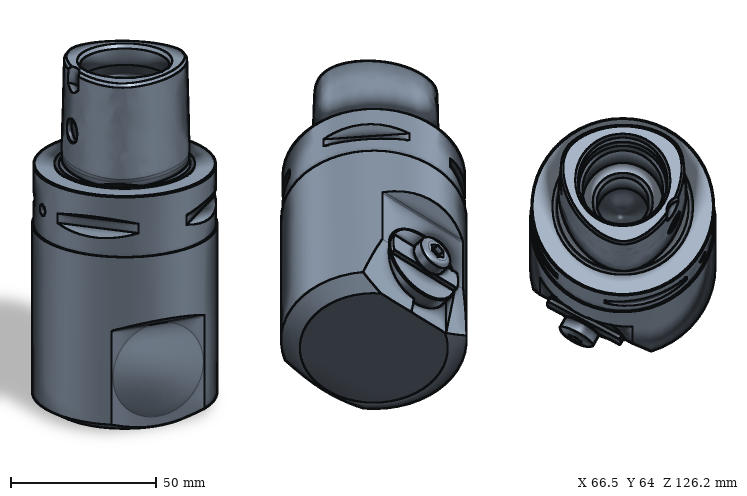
import cadquery as cq
import math


TOTAL_HEIGHT = 126.2
TOTAL_WIDTH = 66.5
FLANGE_TOP = 88.2
FLANGE_BOTTOM = 65.9
FLANGE_DIAMETER = 63.0
FLANGE_RADIUS = FLANGE_DIAMETER / 2
BODY_DIAMETER = 64.0
BODY_RADIUS = BODY_DIAMETER / 2
FLANGE_CHAMFER = 0.4
BOTTOM_RADIUS = 25.5
BOTTOM_CHAMFER_HEIGHT = 3.9

SHANK_MEAN_RADIUS = 22.1
SHANK_ECCENTRICITY = 1.4
SHANK_TAPER = 1 / 40
SHANK_POINTS = 48
TAPER_BOTTOM = 91.4
SHANK_RELIEF = 0.1
NECK_TOP = 90.1
SHANK_EDGE_HEIGHT = 1.3
SHANK_EDGE_WIDTH = 0.9
NECK_RADIUS = 22.2
NECK_FLARE_RADIUS = 23.7

RING_INNER_RADIUS = 22.7
RING_OUTER_RADIUS = 24.2

MOUTH_RADIUS = 16.4
MOUTH_DEPTH = 1.5
BORE_RADIUS = 15.4
CLAMP_GROOVE_RADIUS = 16.4
CLAMP_GROOVE_TOP = 118.6
CLAMP_GROOVE_BOTTOM = 114.0
CLAMP_GROOVE_ROUND = 1.3
INNER_BORE_RADIUS = 13.9
INNER_BORE_TOP = 112.3
INNER_BORE_BOTTOM = 94.6
DRILL_MOUTH_RADIUS = 10.3
DRILL_RADIUS = 9.0
DRILL_BOTTOM = 78.2
DRILL_TIP_SLOPE = math.tan(math.radians(31))

NOTCH_RADIUS = 5.5
NOTCH_FACE_Y = -17.9
NOTCH_BOTTOM = 119.9
DIMPLE_Z = 103.7
DIMPLE_RADIUS = 4.2
DIMPLE_BOTTOM_Y = -18.3
DIMPLE_EDGE_RADIUS = 4.4
MARK_RADIUS = 2.0
MARK_DEPTH = 1.9

SLOT_COUNT = 4
SLOT_Z = 76.2
SLOT_FLOOR_DISTANCE = 27.8
SLOT_FLOOR_HEIGHT = 3.4
SLOT_MOUTH_HEIGHT = 7.7

LEFT_FLAT_DISTANCE = 26.4
LEFT_FLAT_TOP = 44.7
RIGHT_FLAT_DISTANCE = 26.6
RIGHT_FLAT_TOP = 38.6
SHOULDER_ROUND = 0.8
SHOULDER_SLOPE = math.tan(math.radians(31))
SLOPE_TOP = 20.7
SLOPE_BOTTOM_DISTANCE = 21.1

DOME_Z = 21.3
DOME_RADIUS = 17.3
DOME_HEIGHT = 2.0

CARTRIDGE_Z = 20.6
CARTRIDGE_RADIUS = 14.9
CARTRIDGE_SEAT_X = -SLOPE_BOTTOM_DISTANCE
CARTRIDGE_EDGE = 0.4
CLEARANCE_END_Y = 0.6
RAIL_HEIGHT = 7.8
RAIL_THICKNESS = 1.6
RAIL_FACE_X = -LEFT_FLAT_DISTANCE - RAIL_THICKNESS

SCREW_FACE_X = BODY_RADIUS - TOTAL_WIDTH
SCREW_ROUND_DEPTH = 1.1
SCREW_FACE_RADIUS = 4.2
SCREW_EDGE_RADIUS = 3.2
HEAD_RADIUS = 6.5
HEAD_BACK_X = -29.2
HEAD_BACK_CHAMFER = 0.4
STEM_RADIUS = 3.8
HEX_ACROSS_FLATS = 5.0
HEX_DEPTH = 2.5

OVERSIZE = BODY_DIAMETER


def revolve_about_z(points):
    """Solid of revolution about Z from (radius, z) points."""
    return cq.Workplane("XZ").polyline(points).close().revolve(360, (0, 0, 0), (0, 1, 0))


def cylinder_along_x(radius, x_start, x_end, z):
    return cq.Workplane("YZ", origin=(x_start, 0, z)).circle(radius).extrude(x_end - x_start)


def pointed_hole_along_y(radius, y_outside, y_bottom, z):
    """Round cutter entering from -Y, with a drill point beyond y_bottom."""
    tip_y = y_bottom + radius * DRILL_TIP_SLOPE
    outline = [(0, y_outside), (radius, y_outside), (radius, y_bottom), (0, tip_y)]
    cutter = cq.Workplane("XY").polyline(outline).close().revolve(360, (0, 0, 0), (0, 1, 0))
    return cutter.translate((0, 0, z))


def shank_point(mean_radius, angle):
    """Point of the three-lobed outline; one lobe points to +Y."""
    e = SHANK_ECCENTRICITY
    along = mean_radius * math.cos(angle) - 2 * e * math.cos(2 * angle) + e * math.cos(4 * angle)
    across = mean_radius * math.sin(angle) + 2 * e * math.sin(2 * angle) + e * math.sin(4 * angle)
    return across, -along


def shank_section(z_bottom, radius_bottom, z_top, radius_top):
    """Three-lobed solid between two heights, ruled from one mean radius to the other."""
    def outline(mean_radius):
        return [
            shank_point(mean_radius, 2 * math.pi * i / SHANK_POINTS)
            for i in range(SHANK_POINTS)
        ]

    return (
        cq.Workplane("XY", origin=(0, 0, z_bottom))
        .spline(outline(radius_bottom), periodic=True).close()
        .workplane(offset=z_top - z_bottom)
        .spline(outline(radius_top), periodic=True).close()
        .loft(ruled=True)
    )


def make_shank():
    edge_z = TOTAL_HEIGHT - SHANK_EDGE_HEIGHT
    edge_radius = SHANK_MEAN_RADIUS - SHANK_TAPER * (edge_z - TAPER_BOTTOM)
    neck_radius = SHANK_MEAN_RADIUS - SHANK_RELIEF
    neck = shank_section(FLANGE_TOP, neck_radius, NECK_TOP, neck_radius)
    lobe_limit = revolve_about_z([
        (0, FLANGE_TOP),
        (NECK_RADIUS, FLANGE_TOP),
        (NECK_FLARE_RADIUS, NECK_TOP),
        (0, NECK_TOP),
    ])
    relief = shank_section(NECK_TOP, neck_radius, TAPER_BOTTOM, SHANK_MEAN_RADIUS)
    taper = shank_section(TAPER_BOTTOM, SHANK_MEAN_RADIUS, edge_z, edge_radius)
    edge = shank_section(edge_z, edge_radius, TOTAL_HEIGHT, edge_radius - SHANK_EDGE_WIDTH)
    return neck.intersect(lobe_limit).union(relief).union(taper).union(edge)


def make_body():
    return revolve_about_z([
        (0, 0),
        (BOTTOM_RADIUS, 0),
        (BODY_RADIUS, BOTTOM_CHAMFER_HEIGHT),
        (BODY_RADIUS, FLANGE_BOTTOM),
        (FLANGE_RADIUS, FLANGE_BOTTOM),
        (FLANGE_RADIUS, FLANGE_TOP - FLANGE_CHAMFER),
        (FLANGE_RADIUS - FLANGE_CHAMFER, FLANGE_TOP),
        (0, FLANGE_TOP),
    ])


def ring_groove_cutter():
    """Ring of round cross-section, half sunk into the flange face."""
    groove_radius = (RING_OUTER_RADIUS - RING_INNER_RADIUS) / 2
    return cq.Workplane(
        cq.Solid.makeTorus(RING_INNER_RADIUS + groove_radius, groove_radius, cq.Vector(0, 0, FLANGE_TOP))
    )


def bore_cutter():
    """Stepped bore with a clamping groove whose lower corner is round."""
    round_end = CLAMP_GROOVE_RADIUS - CLAMP_GROOVE_ROUND
    return (
        cq.Workplane("XZ")
        .moveTo(0, TOTAL_HEIGHT)
        .lineTo(MOUTH_RADIUS, TOTAL_HEIGHT)
        .lineTo(BORE_RADIUS, TOTAL_HEIGHT - MOUTH_DEPTH)
        .lineTo(BORE_RADIUS, CLAMP_GROOVE_TOP)
        .lineTo(CLAMP_GROOVE_RADIUS, CLAMP_GROOVE_TOP)
        .lineTo(CLAMP_GROOVE_RADIUS, CLAMP_GROOVE_BOTTOM + CLAMP_GROOVE_ROUND)
        .radiusArc((round_end, CLAMP_GROOVE_BOTTOM), CLAMP_GROOVE_ROUND)
        .lineTo(INNER_BORE_RADIUS, INNER_BORE_TOP)
        .lineTo(INNER_BORE_RADIUS, INNER_BORE_BOTTOM)
        .lineTo(DRILL_MOUTH_RADIUS, INNER_BORE_BOTTOM)
        .lineTo(DRILL_RADIUS, INNER_BORE_BOTTOM - (DRILL_MOUTH_RADIUS - DRILL_RADIUS))
        .lineTo(DRILL_RADIUS, DRILL_BOTTOM)
        .lineTo(0, DRILL_BOTTOM - DRILL_RADIUS * DRILL_TIP_SLOPE)
        .close()
        .revolve(360, (0, 0, 0), (0, 1, 0))
    )


def notch_cutter():
    """Upright round cutter with a 45 degree point, sunk into the shank's -Y side."""
    cutter = revolve_about_z([
        (0, TOTAL_HEIGHT),
        (NOTCH_RADIUS, TOTAL_HEIGHT),
        (NOTCH_RADIUS, NOTCH_BOTTOM),
        (0, NOTCH_BOTTOM - NOTCH_RADIUS),
    ])
    return cutter.translate((0, NOTCH_FACE_Y - NOTCH_RADIUS, 0))


def dimple_cutter():
    """Pointed hole in the shank with a narrow 45 degree edge where it meets the -Y wall."""
    wall_radius = SHANK_MEAN_RADIUS - SHANK_TAPER * (DIMPLE_Z - TAPER_BOTTOM)
    wall_y = SHANK_ECCENTRICITY - wall_radius
    edge_tip_y = wall_y + DIMPLE_EDGE_RADIUS
    edge = (
        cq.Workplane("XY")
        .polyline([(0, wall_y), (DIMPLE_EDGE_RADIUS, wall_y), (0, edge_tip_y)]).close()
        .revolve(360, (0, 0, 0), (0, 1, 0))
        .translate((0, 0, DIMPLE_Z))
    )
    hole = pointed_hole_along_y(DIMPLE_RADIUS, -BODY_RADIUS, DIMPLE_BOTTOM_Y, DIMPLE_Z)
    return hole.union(edge)


def gripper_slot_cutter():
    """Straight slot with sloped sides, cut into the flange's +X side."""
    depth = BODY_RADIUS - SLOT_FLOOR_DISTANCE
    side_run = (SLOT_MOUTH_HEIGHT - SLOT_FLOOR_HEIGHT) / 2
    mouth_depth = FLANGE_RADIUS - SLOT_FLOOR_DISTANCE
    outer_half = SLOT_FLOOR_HEIGHT / 2 + side_run * depth / mouth_depth
    return (
        cq.Workplane("XZ")
        .polyline([
            (SLOT_FLOOR_DISTANCE, SLOT_Z - SLOT_FLOOR_HEIGHT / 2),
            (BODY_RADIUS, SLOT_Z - outer_half),
            (BODY_RADIUS, SLOT_Z + outer_half),
            (SLOT_FLOOR_DISTANCE, SLOT_Z + SLOT_FLOOR_HEIGHT / 2),
        ]).close()
        .extrude(OVERSIZE / 2, both=True)
    )


def flat_cutter(distance, top, bottom, bottom_distance):
    """Cutter for a flat facing +X below a sloped shoulder; below the height given by
    bottom the flat leans inward to bottom_distance at the foot of the body."""
    shoulder_rise = (OVERSIZE - distance) * SHOULDER_SLOPE
    outline = [(bottom_distance, 0), (distance, bottom), (distance, top)]
    outline += [(OVERSIZE, top + shoulder_rise), (OVERSIZE, 0)]
    cutter = cq.Workplane("XZ").polyline(outline).close().extrude(OVERSIZE, both=True)
    corner = cq.selectors.NearestToPointSelector((distance, 0, top))
    return cutter.edges("|Y").edges(corner).fillet(SHOULDER_ROUND)


def left_flat_cutter():
    cutter = flat_cutter(LEFT_FLAT_DISTANCE, LEFT_FLAT_TOP, SLOPE_TOP, SLOPE_BOTTOM_DISTANCE)
    return cutter.mirror("YZ")


def right_flat_cutter():
    return flat_cutter(RIGHT_FLAT_DISTANCE, RIGHT_FLAT_TOP, BOTTOM_CHAMFER_HEIGHT, RIGHT_FLAT_DISTANCE)


def cartridge_recess_cutter():
    """Round seat for the cartridge plus the open clearance below one half of it."""
    seat = cylinder_along_x(CARTRIDGE_RADIUS, -OVERSIZE, CARTRIDGE_SEAT_X, CARTRIDGE_Z)
    clearance = cq.Workplane("XY").box(
        OVERSIZE + CARTRIDGE_SEAT_X,
        CLEARANCE_END_Y + CARTRIDGE_RADIUS,
        CARTRIDGE_Z,
        centered=False,
    ).translate((-OVERSIZE, -CARTRIDGE_RADIUS, 0))
    return seat.union(clearance)


def make_dome():
    """Shallow spherical cap standing on the +X flat."""
    return (
        cq.Workplane("XY")
        .moveTo(RIGHT_FLAT_DISTANCE, 0)
        .lineTo(RIGHT_FLAT_DISTANCE, DOME_RADIUS)
        .radiusArc(
            (RIGHT_FLAT_DISTANCE + DOME_HEIGHT, 0),
            (DOME_RADIUS ** 2 + DOME_HEIGHT ** 2) / (2 * DOME_HEIGHT),
        )
        .close()
        .revolve(360, (0, 0, 0), (1, 0, 0))
        .translate((0, 0, DOME_Z))
    )


def make_housing():
    housing = make_body().cut(ring_groove_cutter())
    housing = housing.cut(left_flat_cutter()).cut(right_flat_cutter())
    housing = housing.cut(cartridge_recess_cutter()).union(make_dome())
    housing = housing.union(make_shank()).cut(bore_cutter())
    housing = housing.cut(notch_cutter()).cut(dimple_cutter())
    mark_bottom_y = MARK_DEPTH - FLANGE_RADIUS
    housing = housing.cut(pointed_hole_along_y(MARK_RADIUS, -BODY_RADIUS, mark_bottom_y, SLOT_Z))
    slot = gripper_slot_cutter()
    for i in range(SLOT_COUNT):
        angle = (i + 0.5) * 360 / SLOT_COUNT
        housing = housing.cut(slot.rotate((0, 0, 0), (0, 0, 1), angle))
    return housing


def make_cartridge():
    disc = cylinder_along_x(CARTRIDGE_RADIUS, CARTRIDGE_SEAT_X, -LEFT_FLAT_DISTANCE, CARTRIDGE_Z)
    disc = disc.faces("<X").chamfer(CARTRIDGE_EDGE)
    rail_end_radius = CARTRIDGE_RADIUS - CARTRIDGE_EDGE
    rail_round = cylinder_along_x(rail_end_radius, -LEFT_FLAT_DISTANCE, RAIL_FACE_X, CARTRIDGE_Z)
    rail_band = cq.Workplane("XY").box(OVERSIZE, OVERSIZE, RAIL_HEIGHT).translate((0, 0, CARTRIDGE_Z))
    screw_hole = cylinder_along_x(STEM_RADIUS, CARTRIDGE_SEAT_X, RAIL_FACE_X, CARTRIDGE_Z)
    return disc.union(rail_round.intersect(rail_band)).cut(screw_hole)


def make_screw():
    rounded_x = SCREW_FACE_X + SCREW_ROUND_DEPTH
    screw = (
        cq.Workplane("XY")
        .moveTo(SCREW_FACE_X, 0)
        .lineTo(SCREW_FACE_X, SCREW_FACE_RADIUS)
        .radiusArc((rounded_x, HEAD_RADIUS), SCREW_EDGE_RADIUS)
        .lineTo(HEAD_BACK_X - HEAD_BACK_CHAMFER, HEAD_RADIUS)
        .lineTo(HEAD_BACK_X, HEAD_RADIUS - HEAD_BACK_CHAMFER)
        .lineTo(HEAD_BACK_X, STEM_RADIUS)
        .lineTo(CARTRIDGE_SEAT_X, STEM_RADIUS)
        .lineTo(CARTRIDGE_SEAT_X, 0)
        .close()
        .revolve(360, (0, 0, 0), (1, 0, 0))
    )
    corner_diameter = HEX_ACROSS_FLATS / math.cos(math.pi / 6)
    socket = (
        cq.Workplane("YZ", origin=(SCREW_FACE_X, 0, 0))
        .transformed(rotate=(0, 0, 90))
        .polygon(6, corner_diameter)
        .extrude(HEX_DEPTH)
    )
    socket_x = SCREW_FACE_X + HEX_DEPTH
    half_flats = HEX_ACROSS_FLATS / 2
    socket_point = (
        cq.Workplane("XY")
        .polyline([
            (socket_x, 0),
            (socket_x, half_flats),
            (socket_x + half_flats * DRILL_TIP_SLOPE, 0),
        ]).close()
        .revolve(360, (0, 0, 0), (1, 0, 0))
    )
    return screw.cut(socket).cut(socket_point).translate((0, 0, CARTRIDGE_Z))


housing = make_housing()
cartridge = make_cartridge()
screw = make_screw()

result = cq.Compound.makeCompound([
    housing.solids().val(),
    cartridge.solids().val(),
    screw.solids().val(),
])